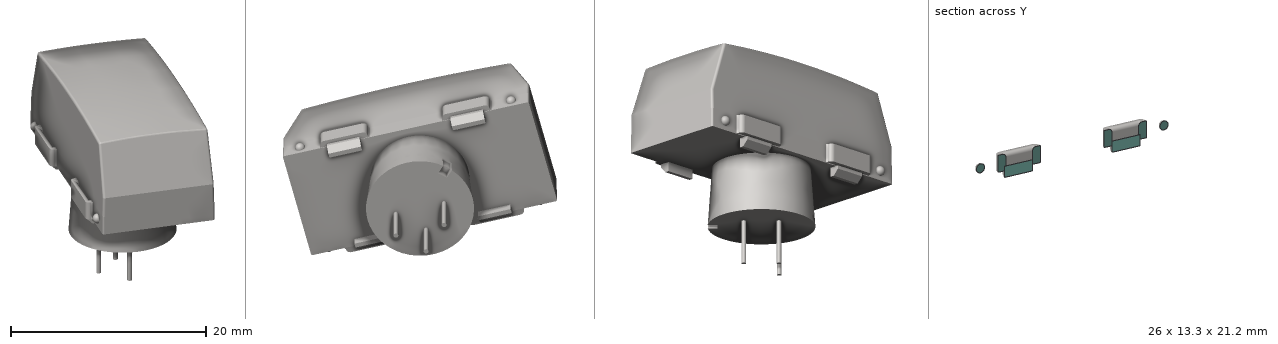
import cadquery as cq
import math

LENGTH = 26.0
WIDTH = 11.95
BASE_HEIGHT = 2.0
BASE_CORNER_RADIUS = 0.18

SHOULDER_Z = 4.1
CROWN_Z = 10.3
CROWN_END_Z = 9.72
CROWN_LENGTH = 22.05
CROWN_SIDE_DROP = 0.2
COVER_DRAFT = 1.2
COVER_EDGE_RADIUS = 0.25
CROWN_END_RADIUS = 0.2

LOOP_X = 6.45
LOOP_ROOT_Y = 5.93
LOOP_OUTER_Y = 6.65
LOOP_BOTTOM_Z = 0.08
LOOP_END_RADIUS = 0.47
LOOP_FOOT_FLARE = 0.13
FRONT_LOOP_FLAT = 5.0
REAR_LOOP_FLAT = 4.05
LOOP_LIP_WALL = 0.18
LOOP_LIP_RADIUS = 0.45

KNOB_RADIUS = 0.52
KNOB_X = 11.15
KNOB_Z = BASE_HEIGHT / 2

HOOK_LENGTH = 3.45
HOOK_X = 6.53
HOOK_INNER_Y = 5.2
HOOK_OUTER_Y = 6.3
HOOK_TOE_Y = 5.67
HOOK_LIP_HEIGHT = 0.36
HOOK_HEIGHT = 1.0

SOCKET_HEIGHT = 6.3
SOCKET_TOP_RADIUS = 5.07
SOCKET_BOTTOM_RADIUS = 5.55
NOTCH_ANGLE = 135
NOTCH_WIDTH = 1.05
NOTCH_HEIGHT = 1.85
NOTCH_DEPTH = 0.4
NOTCH_STEP_HEIGHT = 0.88
NOTCH_STEP_DEPTH = 1.05
PIN_RADIUS = 0.247
PIN_CIRCLE_RADIUS = 2.55
PIN_ANGLES = (180, 270, 0)
PIN_LENGTH = 4.6


def make_crown_limit():
    """Doubly curved solid whose upper face is the crown of the cover."""
    half_length = CROWN_LENGTH / 2
    rise = CROWN_Z - CROWN_END_Z
    crown_radius = (half_length**2 + rise**2) / (2 * rise)
    axis_z = CROWN_Z - crown_radius
    half_width = WIDTH / 2
    section = (
        cq.Workplane("YZ")
        .moveTo(-half_width, 0)
        .lineTo(-half_width, CROWN_Z - CROWN_SIDE_DROP)
        .threePointArc((0, CROWN_Z), (half_width, CROWN_Z - CROWN_SIDE_DROP))
        .lineTo(half_width, 0)
        .close()
    )
    return section.revolve(360, (0, axis_z, 0), (1, axis_z, 0))


def make_hook():
    """Latch hook on the -Y side, centred on X = 0, its outer face in line with the drafted cover side."""
    foot_y = WIDTH / 2 + BASE_HEIGHT * math.tan(math.radians(COVER_DRAFT))
    return (
        cq.Workplane("YZ")
        .polyline([
            (-HOOK_INNER_Y, BASE_HEIGHT),
            (-WIDTH / 2, BASE_HEIGHT),
            (-foot_y, 0),
            (-HOOK_OUTER_Y, 0),
            (-HOOK_OUTER_Y, -HOOK_LIP_HEIGHT),
            (-HOOK_TOE_Y, -HOOK_HEIGHT),
            (-HOOK_INNER_Y, -HOOK_HEIGHT),
        ])
        .close()
        .extrude(HOOK_LENGTH / 2, both=True)
    )


def make_hooks():
    """The four latch hooks, two on each long side."""
    front_hook = make_hook()
    hooks = []
    for x in (-HOOK_X, HOOK_X):
        for hook in (front_hook, front_hook.mirror("XZ")):
            hooks.append(hook.translate((x, 0, 0)))
    return hooks


def make_cover():
    """Domed cover with sloping ends, slightly drafted long sides and latch hooks."""
    slope_run = (LENGTH - CROWN_LENGTH) / 2
    overshoot = (CROWN_Z - SHOULDER_Z) / (CROWN_END_Z - SHOULDER_Z)
    peak_half = LENGTH / 2 - slope_run * overshoot
    outline = (
        cq.Workplane("XZ")
        .polyline([
            (-LENGTH / 2, BASE_HEIGHT),
            (LENGTH / 2, BASE_HEIGHT),
            (LENGTH / 2, SHOULDER_Z),
            (peak_half, CROWN_Z),
            (-peak_half, CROWN_Z),
            (-LENGTH / 2, SHOULDER_Z),
        ])
        .close()
        .extrude(WIDTH / 2, both=True)
    )
    height = CROWN_Z - BASE_HEIGHT
    inset = height * math.tan(math.radians(COVER_DRAFT))
    sides = (
        cq.Workplane("YZ")
        .polyline([
            (-WIDTH / 2, BASE_HEIGHT),
            (WIDTH / 2, BASE_HEIGHT),
            (WIDTH / 2 - inset, CROWN_Z),
            (inset - WIDTH / 2, CROWN_Z),
        ])
        .close()
        .extrude(LENGTH / 2, both=True)
    )
    cover = outline.intersect(sides).intersect(make_crown_limit())
    crown_ends = cq.selectors.BoxSelector(
        (-LENGTH, -WIDTH / 4, (SHOULDER_Z + CROWN_Z) / 2),
        (LENGTH, WIDTH / 4, CROWN_Z),
    )
    cover = cover.edges(crown_ends).fillet(CROWN_END_RADIUS)
    cover = cover.faces("<Y or >Y").edges("not <Z").fillet(COVER_EDGE_RADIUS)
    for hook in make_hooks():
        cover = cover.union(hook)
    return cover


def make_loop(flat_length):
    """Latch loop on the -Y side, centred on X = 0, with a rounded lip around its slot."""
    half_flat = flat_length / 2
    half_body = half_flat + LOOP_END_RADIUS
    half_foot = half_body + LOOP_FOOT_FLARE
    arc_start_y = LOOP_END_RADIUS - LOOP_OUTER_Y
    bulge = LOOP_END_RADIUS * math.sqrt(0.5)
    loop = (
        cq.Workplane("XY", origin=(0, 0, LOOP_BOTTOM_Z))
        .moveTo(-half_foot, -LOOP_ROOT_Y)
        .lineTo(-half_foot, -WIDTH / 2)
        .lineTo(-half_body, arc_start_y)
        .threePointArc((-half_flat - bulge, arc_start_y - bulge), (-half_flat, -LOOP_OUTER_Y))
        .lineTo(half_flat, -LOOP_OUTER_Y)
        .threePointArc((half_flat + bulge, arc_start_y - bulge), (half_body, arc_start_y))
        .lineTo(half_foot, -WIDTH / 2)
        .lineTo(half_foot, -LOOP_ROOT_Y)
        .close()
        .extrude(BASE_HEIGHT - LOOP_BOTTOM_Z)
    )
    throat_y = LOOP_OUTER_Y - LOOP_LIP_WALL - LOOP_LIP_RADIUS
    throat_half = half_flat - LOOP_LIP_RADIUS
    slot = (
        cq.Workplane("XY")
        .rect(2 * throat_half, 2 * throat_y)
        .extrude(BASE_HEIGHT)
    )
    lip_zone = cq.selectors.BoxSelector(
        (-half_flat, -LOOP_OUTER_Y + LOOP_LIP_WALL, BASE_HEIGHT - LOOP_LIP_WALL),
        (half_flat, -LOOP_ROOT_Y, BASE_HEIGHT + LOOP_LIP_WALL),
    )
    return loop.cut(slot).edges(lip_zone).fillet(LOOP_LIP_RADIUS)


def make_base():
    """Base plate with latch loops and knobs on both long sides, and slots for the hooks."""
    base = (
        cq.Workplane("XY")
        .box(LENGTH, WIDTH, BASE_HEIGHT, centered=(True, True, False))
        .edges("|Z")
        .fillet(BASE_CORNER_RADIUS)
    )
    front_loop = make_loop(FRONT_LOOP_FLAT)
    rear_loop = make_loop(REAR_LOOP_FLAT).mirror("XZ")
    for side in (-1, 1):
        for loop in (front_loop, rear_loop):
            base = base.union(loop.translate((side * LOOP_X, 0, 0)))
        for wall_y in (-WIDTH / 2, WIDTH / 2):
            knob = cq.Workplane("XY").sphere(KNOB_RADIUS)
            base = base.union(knob.translate((side * KNOB_X, wall_y, KNOB_Z)))
    for hook in make_hooks():
        base = base.cut(hook)
    return base


def make_notch(height, depth):
    """Radial cutter in the rim of the socket, rising from its lower end."""
    outer_reach = SOCKET_BOTTOM_RADIUS + NOTCH_WIDTH
    inner_reach = SOCKET_BOTTOM_RADIUS - depth
    cutter = (
        cq.Workplane("XY")
        .box(outer_reach - inner_reach, NOTCH_WIDTH, height, centered=(False, True, False))
        .translate((inner_reach, 0, -SOCKET_HEIGHT))
    )
    return cutter.rotate((0, 0, 0), (0, 0, 1), NOTCH_ANGLE)


def make_socket():
    """Flared round socket below the base plate, with a stepped notch in its rim."""
    socket = (
        cq.Workplane("XZ")
        .polyline([
            (0, 0),
            (SOCKET_TOP_RADIUS, 0),
            (SOCKET_BOTTOM_RADIUS, -SOCKET_HEIGHT),
            (0, -SOCKET_HEIGHT),
        ])
        .close()
        .revolve(360, (0, 0, 0), (0, 1, 0))
    )
    socket = socket.cut(make_notch(NOTCH_HEIGHT, NOTCH_DEPTH))
    return socket.cut(make_notch(NOTCH_STEP_HEIGHT, NOTCH_STEP_DEPTH))


def make_pin(angle):
    """Round pin hanging from the lower end of the socket."""
    x = PIN_CIRCLE_RADIUS * math.cos(math.radians(angle))
    y = PIN_CIRCLE_RADIUS * math.sin(math.radians(angle))
    return (
        cq.Workplane("XY", origin=(x, y, -SOCKET_HEIGHT))
        .circle(PIN_RADIUS)
        .extrude(-PIN_LENGTH)
    )


cover = make_cover()
base = make_base()
socket = make_socket()
pins = [make_pin(angle) for angle in PIN_ANGLES]

result = cq.Compound.makeCompound([
    cover.val(),
    base.val(),
    socket.val(),
    *[pin.val() for pin in pins],
])